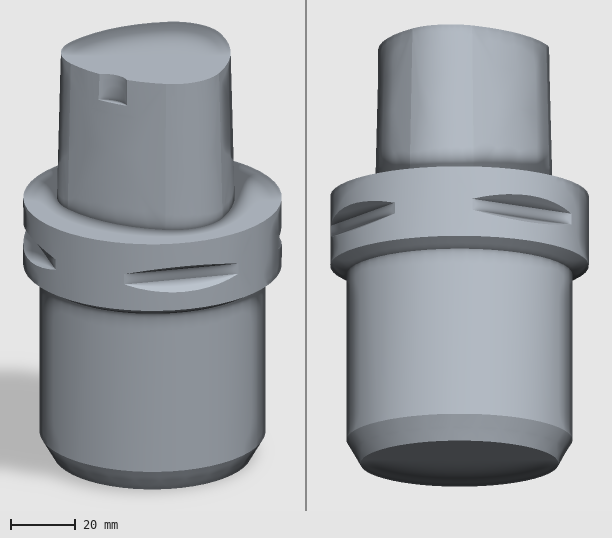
import cadquery as cq
import math


shank_length = 48.0
lobe_reach = 29.55
flank_reach = 25.4
lobe_radius = 16.8
shank_taper = math.degrees(math.atan(1 / 40))
lobe_count = 3
first_lobe_angle = 90.0

notch_depth = 8.5
notch_radius = 7.5
notch_floor_reach = 22.1

flange_diameter = 80.0
body_diameter = 70.0
flange_height = 25.0
body_length = 60.0
chamfer_height = 7.5
cone_angle = 30.0
flange_radius = flange_diameter / 2
body_radius = body_diameter / 2
flange_cone_height = (flange_radius - body_radius) * math.tan(math.radians(cone_angle))
chamfer_width = chamfer_height * math.tan(math.radians(cone_angle))

groove_count = 4
first_groove_angle = 45.0
groove_drop = 12.0
groove_floor_height = 3.4
groove_floor_reach = 35.6
groove_wall_angle = 30.0


def polar(radius, angle):
    """Point at the given radius and angle in degrees."""
    return (radius * math.cos(math.radians(angle)), radius * math.sin(math.radians(angle)))


def make_body():
    flange_bottom = -flange_height
    body_bottom = flange_bottom - body_length
    return (
        cq.Workplane("XZ")
        .moveTo(0, 0)
        .lineTo(flange_radius, 0)
        .lineTo(flange_radius, flange_bottom + flange_cone_height)
        .lineTo(body_radius, flange_bottom)
        .lineTo(body_radius, body_bottom + chamfer_height)
        .lineTo(body_radius - chamfer_width, body_bottom)
        .lineTo(0, body_bottom)
        .close()
        .revolve(360, (0, 0, 0), (0, 1, 0))
    )


def make_shank():
    lobe_pitch = 360 / lobe_count
    half_pitch = lobe_pitch / 2

    lobe_offset = lobe_reach - lobe_radius
    flank_excess = flank_reach - lobe_radius
    lobe_along_flank = lobe_offset * math.cos(math.radians(half_pitch))
    flank_offset = (lobe_offset**2 - flank_excess**2) / (2 * (flank_excess - lobe_along_flank))

    flank_x, flank_y = polar(flank_offset, half_pitch + 180)
    normal = math.atan2(-flank_y, lobe_offset - flank_x)
    joint_x = lobe_offset + lobe_radius * math.cos(normal)
    joint_y = lobe_radius * math.sin(normal)
    joint_reach = math.hypot(joint_x, joint_y)
    joint_angle = math.degrees(math.atan2(joint_y, joint_x))

    outline = cq.Workplane("XY").moveTo(*polar(joint_reach, first_lobe_angle - joint_angle))
    for index in range(lobe_count):
        tip = first_lobe_angle + index * lobe_pitch
        outline = outline.threePointArc(
            polar(lobe_reach, tip),
            polar(joint_reach, tip + joint_angle),
        )
        outline = outline.threePointArc(
            polar(flank_reach, tip + half_pitch),
            polar(joint_reach, tip + lobe_pitch - joint_angle),
        )
    return outline.close().extrude(shank_length, taper=shank_taper)


def make_notch():
    return (
        cq.Workplane("XY")
        .workplane(offset=shank_length - notch_depth)
        .center(0, -notch_floor_reach - notch_radius)
        .circle(notch_radius)
        .extrude(notch_depth)
    )


def make_groove(angle):
    floor_half = groove_floor_height / 2
    mouth_half = floor_half + (flange_radius - groove_floor_reach) * math.tan(math.radians(groove_wall_angle))
    return (
        cq.Workplane("XZ")
        .moveTo(groove_floor_reach, -groove_drop - floor_half)
        .lineTo(flange_radius, -groove_drop - mouth_half)
        .lineTo(flange_radius, -groove_drop + mouth_half)
        .lineTo(groove_floor_reach, -groove_drop + floor_half)
        .close()
        .extrude(flange_radius, both=True)
        .rotate((0, 0, 0), (0, 0, 1), angle)
    )


result = make_body().union(make_shank()).cut(make_notch())
for groove_index in range(groove_count):
    result = result.cut(make_groove(first_groove_angle + groove_index * 360 / groove_count))